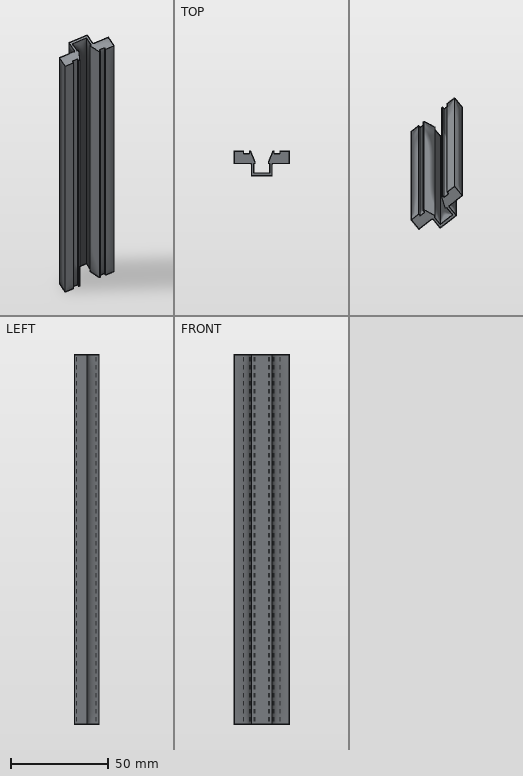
import cadquery as cq

width = 28.57
depth = 12.7
length = 190.5

wing_thickness = 6.35

channel_width = 10.668
wall_thickness = 1.27
web_thickness = 1.524
corner_radius = 0.508

throat_back_width = 11.43
throat_lip_width = 6.25
lip_radius = 0.508

groove_width = 2.921
groove_depth = 1.19
groove_offset = 7.874

back = depth / 2
front = -depth / 2
wing_front = back - wing_thickness
channel_half_width = channel_width / 2
cavity_half_width = channel_half_width - wall_thickness
cavity_floor = front + web_thickness


def make_half_body():
    """The +X half of the rail: half the web, one channel wall and one wing."""
    return (
        cq.Workplane("XY")
        .moveTo(0, front)
        .lineTo(channel_half_width, front)
        .lineTo(channel_half_width, wing_front)
        .lineTo(width / 2, wing_front)
        .lineTo(width / 2, back)
        .lineTo(throat_back_width / 2, back)
        .lineTo(throat_lip_width / 2, wing_front)
        .lineTo(cavity_half_width, wing_front)
        .lineTo(cavity_half_width, cavity_floor)
        .lineTo(0, cavity_floor)
        .close()
        .extrude(length)
    )


def round_edge(body, x, y, radius):
    """Fillet the lengthwise edge that passes through (x, y)."""
    edge = cq.selectors.NearestToPointSelector((x, y, length / 2))
    return body.edges("|Z").edges(edge).fillet(radius)


def make_groove():
    return (
        cq.Workplane("XY")
        .center(groove_offset, back - groove_depth / 2)
        .rect(groove_width, groove_depth)
        .extrude(length)
    )


half_rail = make_half_body()
half_rail = round_edge(half_rail, channel_half_width, wing_front, corner_radius)
half_rail = round_edge(half_rail, throat_lip_width / 2, wing_front, lip_radius)
half_rail = half_rail.cut(make_groove())

result = half_rail.union(half_rail.mirror("YZ")).clean()